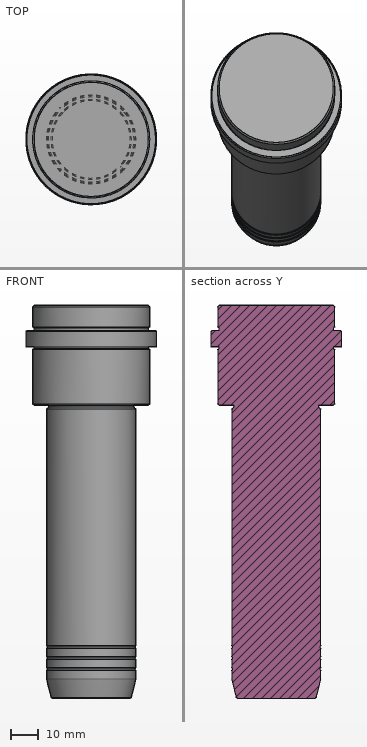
import cadquery as cq

height = 141.0
head_radius = 42.0 / 2
flange_radius = 47.0 / 2
shank_radius = 32.0 / 2

flange_top = height - 9.0
flange_bottom = height - 15.0
head_bottom = height - 36.0
leadin_height = 7.0

tip_radius = 14.4
leadin_mid_radius = 15.2
tip_chamfer = 0.4

edge_chamfer = 0.5
flange_chamfer = 0.4
relief_depth = 0.4
upper_relief_width = 1.3
lower_relief_width = 1.0
neck_depth = 0.7
neck_width = 1.3

groove_count = 3
groove_width = 1.0
groove_depth = 0.3
first_groove_center = 10.6
groove_pitch = 4.0


def cylinder(radius, bottom, top):
    return cq.Workplane("XY").workplane(offset=bottom).circle(radius).extrude(top - bottom)


def ring_cutter(points):
    """Revolve a closed outline of (radius, height) points about the Z axis."""
    return cq.Workplane("XZ").polyline(points).close().revolve(360, (0, 0, 0), (0, 1, 0))


def vee_groove(center):
    """Cutter for a V-shaped lubrication groove in the shank."""
    return ring_cutter([
        (shank_radius, center - groove_width / 2),
        (shank_radius - groove_depth, center),
        (shank_radius, center + groove_width / 2),
    ])


def relief_groove(bottom, width, wall_above):
    """Cutter for a head relief; the wall away from the flange slopes at 45 degrees."""
    floor_radius = head_radius - relief_depth
    top = bottom + width
    floor_bottom = bottom if wall_above else bottom + relief_depth
    floor_top = top - relief_depth if wall_above else top
    return ring_cutter([
        (head_radius, bottom),
        (floor_radius, floor_bottom),
        (floor_radius, floor_top),
        (head_radius, top),
    ])


def make_shank():
    """Revolved shank with the curved lead-in and the tapered neck under the head."""
    neck_radius = shank_radius - neck_depth
    profile = (
        cq.Workplane("XZ")
        .lineTo(tip_radius - tip_chamfer, 0)
        .lineTo(tip_radius, tip_chamfer)
        .threePointArc((leadin_mid_radius, leadin_height / 2), (shank_radius, leadin_height))
        .lineTo(shank_radius, head_bottom - neck_width)
        .lineTo(neck_radius, head_bottom - neck_width + neck_depth)
        .lineTo(neck_radius, head_bottom)
        .lineTo(0, head_bottom)
        .close()
    )
    shank = profile.revolve(360, (0, 0, 0), (0, 1, 0))
    for index in range(groove_count):
        shank = shank.cut(vee_groove(first_groove_center + index * groove_pitch))
    return shank


def make_head():
    """Chamfered head, relieved on both sides of its flange."""
    head = cylinder(head_radius, head_bottom, height).edges().chamfer(edge_chamfer)
    lower_start = flange_bottom - lower_relief_width
    head = head.cut(relief_groove(flange_top, upper_relief_width, True))
    head = head.cut(relief_groove(lower_start, lower_relief_width, False))
    flange = cylinder(flange_radius, flange_bottom, flange_top)
    return head.union(flange.faces(">Z").edges().chamfer(flange_chamfer))


result = make_head().union(make_shank())